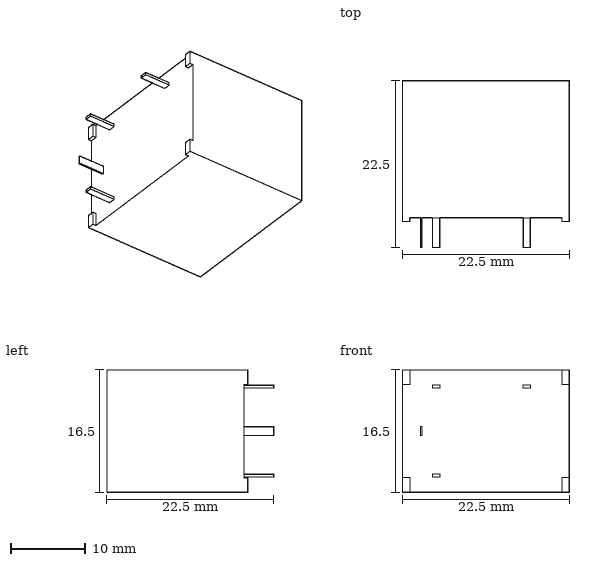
import cadquery as cq

case_length = 22.5
case_depth = 18.5
case_height = 16.5

foot_width = 1.0
foot_depth = 0.5
foot_height = 2.0

pin_length = 4.0
pin_width = 1.0
pin_thickness = 0.4
common_pin_width = 1.2
common_pin_thickness = 0.2

common_pin_inset = 2.55
near_pin_offset = 2.0
pin_pitch_x = 12.2
pin_pitch_z = 12.0

common_pin_x = -case_length / 2 + common_pin_inset
near_pin_x = common_pin_x + near_pin_offset
far_pin_x = near_pin_x + pin_pitch_x
upper_pin_z = pin_pitch_z / 2


def block_on_pin_face(x, z, size_x, length, size_z):
    """Block centred at (x, z) that stands out from the pin face toward -Y."""
    return cq.Workplane("XZ").center(x, z).rect(size_x, size_z).extrude(length)


def make_case():
    return cq.Workplane("XZ").rect(case_length, case_height).extrude(-case_depth)


def add_feet(body):
    foot_x = (case_length - foot_width) / 2
    foot_z = (case_height - foot_height) / 2
    for x in (-foot_x, foot_x):
        for z in (-foot_z, foot_z):
            body = body.union(block_on_pin_face(x, z, foot_width, foot_depth, foot_height))
    return body


def add_flat_pins(body):
    """Pins that lie flat in Z: two near the common pin and one at the far end."""
    pin_centres = [
        (near_pin_x, upper_pin_z),
        (near_pin_x, -upper_pin_z),
        (far_pin_x, upper_pin_z),
    ]
    for x, z in pin_centres:
        body = body.union(block_on_pin_face(x, z, pin_width, pin_length, pin_thickness))
    return body


def add_common_pin(body):
    """Upright pin at mid height."""
    pin = block_on_pin_face(common_pin_x, 0, common_pin_thickness, pin_length, common_pin_width)
    return body.union(pin)


result = add_common_pin(add_flat_pins(add_feet(make_case())))